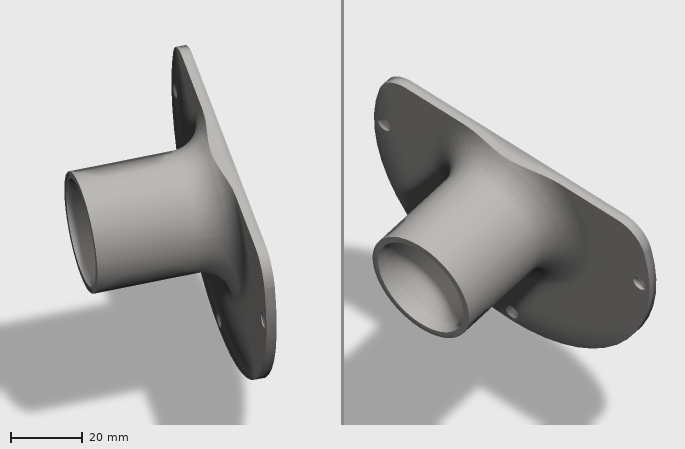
import cadquery as cq
import math

plate_radius = 49.9
plate_thickness = 3.0
top_edge_height = 21.3
corner_radius = 10.0

tube_outer_radius = 35.0 / 2
bore_radius = 31.0 / 2
overall_depth = 43.0
flare_radius = 10.0

hole_diameter = 4.5
hole_circle_radius = 46.2
hole_angles = (0, 180, 270)

plate_front = -plate_thickness
tube_end = -overall_depth


def plate_outline():
    """Disc with a straight top and rounded corners tangent to both."""
    corner_z = top_edge_height - corner_radius
    corner_reach = plate_radius - corner_radius
    corner_x = math.sqrt(corner_reach**2 - corner_z**2)
    tangent_scale = plate_radius / corner_reach
    side_x = corner_x * tangent_scale
    side_z = corner_z * tangent_scale
    middle_angle = (math.atan2(corner_z, corner_x) + math.pi / 2) / 2
    middle_x = corner_x + corner_radius * math.cos(middle_angle)
    middle_z = corner_z + corner_radius * math.sin(middle_angle)
    return (
        cq.Workplane("XZ")
        .moveTo(-corner_x, top_edge_height)
        .lineTo(corner_x, top_edge_height)
        .threePointArc((middle_x, middle_z), (side_x, side_z))
        .threePointArc((0, -plate_radius), (-side_x, side_z))
        .threePointArc((-middle_x, middle_z), (-corner_x, top_edge_height))
        .close()
    )


def flared_tube():
    """Solid tube body with a concave flare meeting the plate face."""
    flare_edge = tube_outer_radius + flare_radius
    flare_start = plate_front - flare_radius
    arc_offset = flare_radius * math.sqrt(0.5)
    arc_middle = (flare_edge - arc_offset, flare_start + arc_offset)
    return (
        cq.Workplane("XY")
        .moveTo(0, 0)
        .lineTo(flare_edge, 0)
        .lineTo(flare_edge, plate_front)
        .threePointArc(arc_middle, (tube_outer_radius, flare_start))
        .lineTo(tube_outer_radius, tube_end)
        .lineTo(0, tube_end)
        .close()
        .revolve(360, (0, 0, 0), (0, 1, 0))
    )


def mounting_holes():
    centers = [
        (
            hole_circle_radius * math.cos(math.radians(angle)),
            hole_circle_radius * math.sin(math.radians(angle)),
        )
        for angle in hole_angles
    ]
    return cq.Workplane("XZ").pushPoints(centers).circle(hole_diameter / 2).extrude(plate_thickness)


plate = plate_outline().extrude(plate_thickness)
tube = flared_tube().intersect(plate_outline().extrude(overall_depth))
bore = cq.Workplane("XZ").circle(bore_radius).extrude(overall_depth)

result = plate.union(tube).cut(bore).cut(mounting_holes())